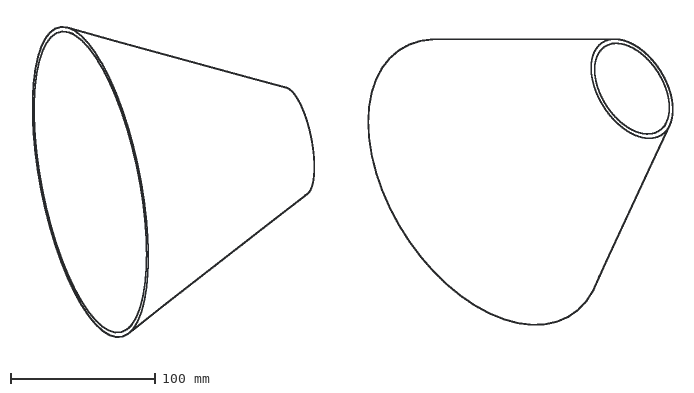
import cadquery as cq
import math

large_diameter = 219.1
small_diameter = 76.1
length = 152.0
wall_thickness = 3.0

large_radius = large_diameter / 2
small_radius = small_diameter / 2
half_angle = math.atan2(large_radius - small_radius, length)
radial_wall = wall_thickness / math.cos(half_angle)


def conical_shell():
    """Revolve the sloping wall section, with flat ends, around the Y axis."""
    wall_section = (
        cq.Workplane("XY")
        .moveTo(large_radius - radial_wall, 0)
        .lineTo(large_radius, 0)
        .lineTo(small_radius, length)
        .lineTo(small_radius - radial_wall, length)
        .close()
    )
    return wall_section.revolve(360, (0, 0, 0), (0, 1, 0))


result = conical_shell()